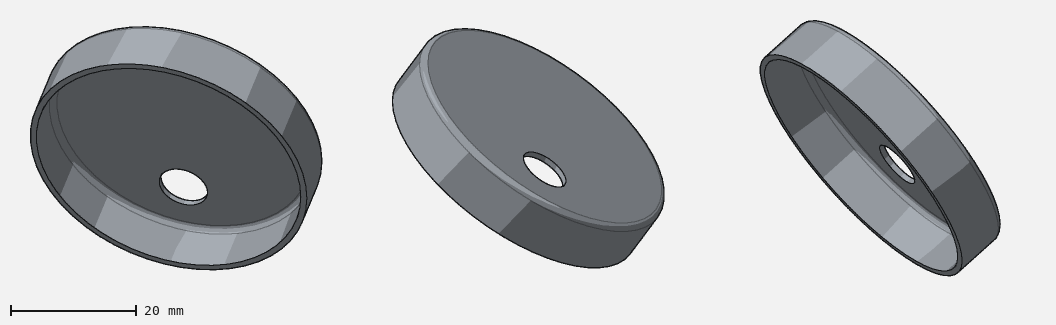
import cadquery as cq

outer_diameter = 46.0
depth = 9.0
wall = 1.0
floor_thickness = 1.0
edge_radius = 0.95
hole_diameter = 8.0
hole_drop = 13.0


def disc(diameter, length):
    """Cylinder along +Y starting at the rim plane."""
    return cq.Workplane("XZ").circle(diameter / 2).extrude(-length)


body = disc(outer_diameter, depth).faces(">Y").edges().fillet(edge_radius)
cavity = disc(outer_diameter - 2 * wall, depth - floor_thickness).faces(">Y").edges().fillet(edge_radius)

hole = disc(hole_diameter, depth).translate((0, 0, -hole_drop))

result = body.cut(cavity).cut(hole)